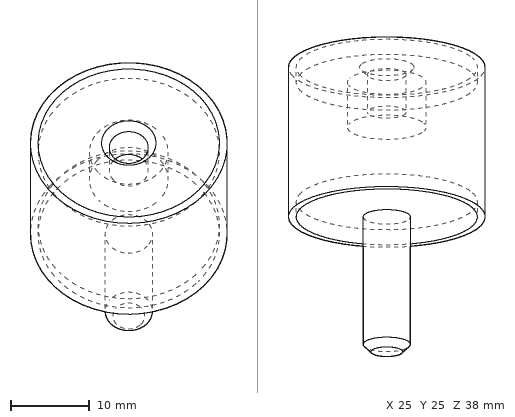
import cadquery as cq

total_height = 38.0
body_diameter = 25.0
body_height = 20.0
body_bottom = total_height - body_height

flange_diameter = 23.03
flange_thickness = 2.0

stud_diameter = 6.0
stud_chamfer = 1.0

hole_diameter = 4.95
hole_mouth_diameter = 6.9
hole_chamfer = (hole_mouth_diameter - hole_diameter) / 2
hole_depth = 6.0
hub_diameter = 10.0
hub_length = hole_depth + flange_thickness


def cylinder(diameter, bottom, height):
    """Upright cylinder on the Z axis."""
    return cq.Workplane("XY", origin=(0, 0, bottom)).circle(diameter / 2).extrude(height)


def insert_blank():
    """Outer form of the insert, before its hole is made."""
    flange = cylinder(flange_diameter, total_height - flange_thickness, flange_thickness)
    hub = cylinder(hub_diameter, total_height - hub_length, hub_length)
    return flange.union(hub)


def make_insert():
    """Flanged insert with a blind hole and a chamfered mouth."""
    hole = cylinder(hole_diameter, total_height - hole_depth, hole_depth)
    mouth = cq.Workplane(
        cq.Solid.makeCone(
            hole_diameter / 2,
            hole_mouth_diameter / 2,
            hole_chamfer,
            cq.Vector(0, 0, total_height - hole_chamfer),
        )
    )
    return insert_blank().cut(hole).cut(mouth)


def stud_flange():
    """Disc at the head of the stud, flush with the underside of the rubber."""
    return cylinder(flange_diameter, body_bottom, flange_thickness)


def make_stud():
    """Stud with a chamfered tip and a flange at its upper end."""
    shank = cylinder(stud_diameter, 0, body_bottom).faces("<Z").chamfer(stud_chamfer)
    return shank.union(stud_flange())


def make_rubber_body():
    """Rubber cylinder with recesses that fit the insert and the stud flange."""
    body = cylinder(body_diameter, body_bottom, body_height)
    return body.cut(insert_blank()).cut(stud_flange())


rubber_body = make_rubber_body()
insert = make_insert()
stud = make_stud()

result = cq.Compound.makeCompound([rubber_body.val(), insert.val(), stud.val()])